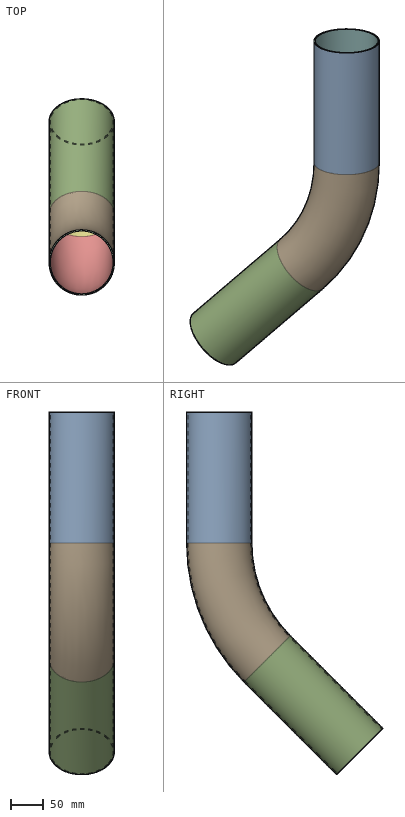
import cadquery as cq
import math

OUTER_DIAMETER = 101.6
WALL_THICKNESS = 2.11
BEND_ANGLE = 45.0
BEND_RADIUS = 2.5 * OUTER_DIAMETER
LEG_LENGTH = 2 * OUTER_DIAMETER

INNER_DIAMETER = OUTER_DIAMETER - 2 * WALL_THICKNESS


def bend_point(angle_degrees):
    """Centreline point (y, z) after turning by the given angle; the bend starts at the origin."""
    angle = math.radians(angle_degrees)
    y = BEND_RADIUS * (1 - math.cos(angle))
    z = -BEND_RADIUS * math.sin(angle)
    return (y, z)


def tube_centreline():
    """Path in the YZ plane, from the top of the vertical leg to the end of the sloping leg."""
    bend_end_y, bend_end_z = bend_point(BEND_ANGLE)
    slope = math.radians(BEND_ANGLE)
    leg_end = (
        bend_end_y + LEG_LENGTH * math.sin(slope),
        bend_end_z - LEG_LENGTH * math.cos(slope),
    )
    return (
        cq.Workplane("YZ")
        .moveTo(0, LEG_LENGTH)
        .lineTo(0, 0)
        .threePointArc(bend_point(BEND_ANGLE / 2), (bend_end_y, bend_end_z))
        .lineTo(*leg_end)
    )


def bent_tube():
    """Sweep the ring section along the centreline, leaving both ends open."""
    ring = (
        cq.Workplane("XY")
        .workplane(offset=LEG_LENGTH)
        .circle(OUTER_DIAMETER / 2)
        .circle(INNER_DIAMETER / 2)
    )
    return ring.sweep(tube_centreline())


result = bent_tube()